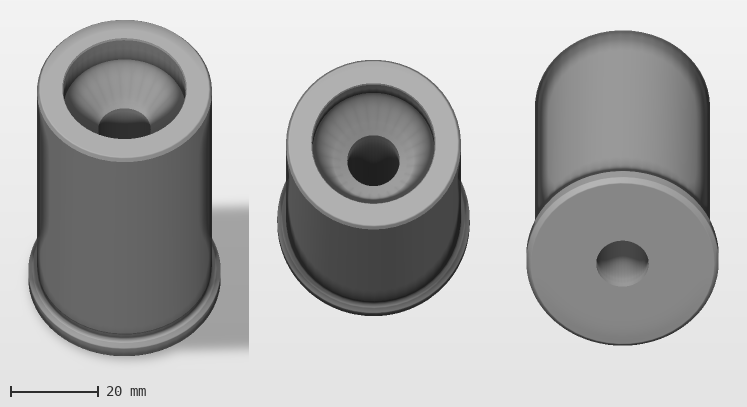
import cadquery as cq
import math

total_height = 75.0
body_radius = 20.0

flange_radius = 22.0
flange_height = 5.0
flange_chamfer = 1.0
flange_edge_fillet = 0.35

undercut_radius = 39.7 / 2
undercut_top = 7.1
undercut_runout_angle = math.radians(15)
undercut_fillet = 0.4

lead_in_height = 1.0
lead_in_angle = math.radians(30)
lead_in_fillet = 0.4

bore_radius = 14.0
bore_depth = 8.0
bore_chamfer_height = 0.5
bore_chamfer_angle = math.radians(24)
hole_radius = 6.0
cone_angle = math.radians(45)


def revolve_profile(profile):
    """Close a half profile (X = radius, Y = height) and turn it round the Z axis."""
    return profile.close().revolve(360, (0, 0, 0), (0, 1, 0))


def make_flange():
    """Disc at the foot, chamfered top and bottom with every chamfer edge rounded."""
    return (
        cq.Workplane("XY")
        .circle(flange_radius)
        .extrude(flange_height)
        .edges().chamfer(flange_chamfer)
        .edges("%CIRCLE").fillet(flange_edge_fillet)
    )


def make_body():
    """Cylinder with the undercut at its foot and the rounded lead-in at its top."""
    runout_height = (body_radius - undercut_radius) / math.tan(undercut_runout_angle)
    lead_in_radius = body_radius - lead_in_height * math.tan(lead_in_angle)
    profile = (
        cq.Workplane("XZ")
        .moveTo(0, flange_height)
        .lineTo(undercut_radius + undercut_fillet, flange_height)
        .radiusArc((undercut_radius, flange_height + undercut_fillet), undercut_fillet)
        .lineTo(undercut_radius, undercut_top - runout_height)
        .lineTo(body_radius, undercut_top)
        .lineTo(body_radius, total_height - lead_in_height)
        .lineTo(lead_in_radius, total_height)
        .lineTo(0, total_height)
    )
    return revolve_profile(profile).faces(">Z").edges().fillet(lead_in_fillet)


def make_bore():
    """Chamfered bore, its conical floor and the through hole, as a solid to cut away."""
    cone_top = total_height - bore_depth
    cone_bottom = cone_top - (bore_radius - hole_radius) / math.tan(cone_angle)
    mouth_radius = bore_radius + bore_chamfer_height * math.tan(bore_chamfer_angle)
    profile = (
        cq.Workplane("XZ")
        .lineTo(hole_radius, 0)
        .lineTo(hole_radius, cone_bottom)
        .lineTo(bore_radius, cone_top)
        .lineTo(bore_radius, total_height - bore_chamfer_height)
        .lineTo(mouth_radius, total_height)
        .lineTo(0, total_height)
    )
    return revolve_profile(profile)


result = make_flange().union(make_body()).cut(make_bore())